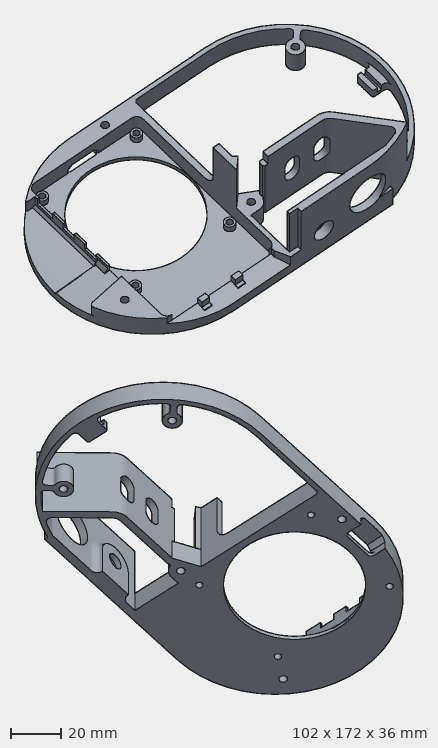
import cadquery as cq
import math

LENGTH = 172.0
WIDTH = 102.0
BASE_HEIGHT = 10.5
TOTAL_HEIGHT = 36.0
RADIUS = WIDTH / 2
ARC_Y = LENGTH / 2 - RADIUS
RIM = 2.2
FLOOR = 2.0
OVERSHOOT = 1.7
BLEND_REACH = 8.6

POCKET_LEFT, POCKET_RIGHT = -42.8, 42.6
POCKET_FRONT, POCKET_BACK = -63.5, -6.5
POCKET_CORNER = 3.3
FAN_X, FAN_Y = -10.0, -ARC_Y
FAN_DIAMETER = 56.7
BOSS_PITCH_X, BOSS_PITCH_Y = 58.0, 49.0
BOSS_DIAMETER, BOSS_HOLE = 5.0, 3.0
BOSS_TOP = 5.2

OPENING_FRONT = -3.5
OPENING_CORNER = 1.5
SCREW_HOLE = 3.5
SCREW_HOLES = [(-47.0, -20.1), (25.0, -70.0)]

POST_DIAMETER = 8.0
POST_RADIUS = 39.9
POST_ANGLES = (45, 135)
WEB_WIDTH = 2.8
WEB_FILLET = 1.7

WALL = 3.3
WALL_LEFT = 18.2
WALL_END_Y = 7.4
BEND_Y = 39.2
BEND_RADIUS = 4.8
DIAGONAL_ANGLE = 40.3
CAVITY_FRONT = -4.3
CAVITY_CORNER = 2.4
PANEL_INNER = 47.3
PANEL_STEP = 48.8
PANEL_BACK = 47.6
SLOT_WIDTH, SLOT_LENGTH = 7.4, 13.8
SLOT_YS = (ARC_Y, 20.0)
SLOT_Z = 17.5
WINDOW_DIAMETER = 19.5
WINDOW_Z = 18.0
LIP_TOP = 31.1
LIP_LENGTH = 2.2
LIP_TAPER = 0.7

PAD_Y, PAD_Z = 11.9, 13.2
PAD_RADIUS = 8.0
PAD_FACE = 44.0
PAD_FILLET = PANEL_INNER - PAD_FACE
PAD_HOLE, PAD_COUNTERBORE = 7.0, 10.0
COUNTERBORE_X = 46.5

LOBE_X, LOBE_Y = WALL_LEFT + WALL / 2, 0.0
LOBE_DIAMETER = 10.0
LOBE_TOE_X = 12.2
FIN_LEFT = 4.0
FIN_TIP = (13.5, -1.5)
FIN_ROOT_RADIUS = 5.8

RECESS_LEFT = -37.5
RECESS_WALL_Y = -64.5
RECESS_FLOOR = 4.1
RECESS_RIGHT_BACK, RECESS_RIGHT_FRONT = 15.1, 17.9
RECESS_FRONT_Y = -82.2
LEFT_ROUND, RIGHT_ROUND = 0.5, 1.5
RAMP_BACK, RAMP_FRONT = 7.0, 4.3
RAMP_LEFT = 1.0
RAMP_SIDE_RUN = 1.0
RAMP_WALL_END = 7.7
EDGE_SLOPE_Y = -81.0
EDGE_SLOPE_DROP = 0.5
FOOT = 1.2
NOTCHES = [(-36.0, -26.5), (-20.0, -13.0), (-6.5, 0.3)]
NOTCH_Z = 7.2
CATCH_LEFT = 1.5
CATCH_BOTTOM, CATCH_TOP = 6.7, 9.0
CATCH_DEPTH = 1.5

SHELF_INNER_Z, SHELF_OUTER_Z = 6.7, 5.2
SHELF_END_INNER = (44.4, -8.6)
SHELF_END_OUTER = (RADIUS, -5.5)
TAB_YS = (-27.5, -44.9)
TAB_WIDTH = 4.0
TAB_LENGTH, TAB_STEP = 2.5, 1.7
TAB_TOP, TAB_STEP_TOP = 9.8, 6.4

CABLE_WIDTH, CABLE_HEIGHT = 15.8, 5.8
CABLE_CHAMFER, CABLE_CORNER = 2.0, 1.7

CLIP_WIDTH = 10.1
CLIP_FRONT, CLIP_BACK = 75.7, 80.8
CLIP_TOP = 4.5
CLIP_GROOVE_FRONT, CLIP_GROOVE_BACK = 78.0, 80.1
CLIP_GROOVE_DEPTH = 2.8
CLIP_CORNER = 0.9
CLIP_ROOT = 1.9


def box(x0, x1, y0, y1, z0, z1):
    """Box between two opposite corners."""
    return cq.Workplane("XY").box(x1 - x0, y1 - y0, z1 - z0, centered=False).translate((x0, y0, z0))


def prism(points, z0, z1):
    """Plan polygon extruded between two heights."""
    return cq.Workplane("XY").workplane(offset=z0).polyline(points).close().extrude(z1 - z0)


def prism_along_x(points, x0, x1):
    """(Y, Z) polygon extruded along X."""
    return cq.Workplane("YZ").workplane(offset=x0).polyline(points).close().extrude(x1 - x0)


def prism_along_y(points, y0, y1):
    """(X, Z) polygon extruded along Y."""
    return cq.Workplane("XZ").workplane(offset=-y1).polyline(points).close().extrude(y1 - y0)


def rod(x, y, diameter, z0, z1):
    """Vertical cylinder."""
    return cq.Workplane("XY").workplane(offset=z0).center(x, y).circle(diameter / 2).extrude(z1 - z0)


def rod_along_x(y, z, diameter, x0, x1):
    """Cylinder parallel to X."""
    return cq.Workplane("YZ").workplane(offset=x0).center(y, z).circle(diameter / 2).extrude(x1 - x0)


def stadium(inset, height):
    """Outline with two rounded ends, shrunk by the inset."""
    return cq.Workplane("XY").slot2D(LENGTH - 2 * inset, WIDTH - 2 * inset, 90).extrude(height)


def base_ring():
    """Stadium plate with the large opening behind the fan pocket."""
    opening = stadium(RIM, BASE_HEIGHT).intersect(
        box(-RADIUS, RADIUS, OPENING_FRONT, LENGTH / 2, 0, BASE_HEIGHT)
    )
    opening = opening.edges("|Z and <Y").fillet(OPENING_CORNER)
    return stadium(0, BASE_HEIGHT).cut(opening)


def diagonal_plan(corner_x, corner_y, front_y):
    """Plan to the right of a straight wall face and its diagonal continuation."""
    far_x = 2 * RADIUS
    far_y = corner_y + (far_x - corner_x) * math.tan(math.radians(DIAGONAL_ANGLE))
    return [(corner_x, front_y), (corner_x, corner_y), (far_x, far_y), (far_x, front_y)]


def tower_cavity():
    """Space enclosed by the tower walls."""
    half_bend = math.radians(90 - DIAGONAL_ANGLE) / 2
    corner_x = WALL_LEFT + WALL
    corner_y = BEND_Y - WALL * math.tan(half_bend)
    cavity = prism(diagonal_plan(corner_x, corner_y, CAVITY_FRONT), 0, TOTAL_HEIGHT)
    cavity = cavity.intersect(stadium(RIM, TOTAL_HEIGHT))
    cavity = cavity.intersect(box(0, PANEL_INNER, CAVITY_FRONT, LENGTH, 0, TOTAL_HEIGHT))
    bend = cq.selectors.NearestToPointSelector((corner_x, corner_y, TOTAL_HEIGHT / 2))
    cavity = cavity.edges(bend).fillet(BEND_RADIUS)
    return cavity.edges("|Z and >Y").fillet(CAVITY_CORNER)


def tower():
    """Tall walls: bent divider, ring segment and side panel, squared off at base height."""
    body = prism(diagonal_plan(WALL_LEFT, BEND_Y, WALL_END_Y), 0, TOTAL_HEIGHT)
    bend = cq.selectors.NearestToPointSelector((WALL_LEFT, BEND_Y, TOTAL_HEIGHT / 2))
    body = body.edges(bend).fillet(BEND_RADIUS + WALL)
    body = body.union(box(PANEL_INNER, RADIUS, 0, PANEL_BACK, 0, TOTAL_HEIGHT))
    body = body.intersect(stadium(0, TOTAL_HEIGHT))
    body = body.union(box(PANEL_INNER, RADIUS, 0, PANEL_BACK, 0, BASE_HEIGHT))
    return body.union(box(PANEL_INNER, PANEL_STEP, CAVITY_FRONT, 0, 0, TOTAL_HEIGHT))


def pad():
    """Arched pad with a concave flank blending into the side panel."""
    outer = PAD_RADIUS + PAD_FILLET
    profile = (
        cq.Workplane("XY")
        .moveTo(PAD_FACE, 0)
        .lineTo(PAD_FACE, PAD_RADIUS)
        .radiusArc((PANEL_INNER, outer), -PAD_FILLET)
        .lineTo(PANEL_INNER, 0)
        .close()
    )
    dome = profile.revolve(360, (0, 0, 0), (1, 0, 0)).translate((0, PAD_Y, PAD_Z))
    skirt = (
        cq.Workplane("XY")
        .moveTo(PAD_FACE, PAD_Y - PAD_RADIUS)
        .radiusArc((PANEL_INNER, PAD_Y - outer), PAD_FILLET)
        .lineTo(PANEL_INNER, PAD_Y + outer)
        .radiusArc((PAD_FACE, PAD_Y + PAD_RADIUS), PAD_FILLET)
        .close()
        .extrude(PAD_Z)
    )
    return dome.union(skirt)


def tower_openings():
    """Slots in the divider, window and counterbored hole in the side panel."""
    slots = (
        cq.Workplane("YZ")
        .workplane(offset=WALL_LEFT - OVERSHOOT)
        .pushPoints([(y, SLOT_Z) for y in SLOT_YS])
        .slot2D(SLOT_LENGTH, SLOT_WIDTH, 90)
        .extrude(WALL + 2 * OVERSHOOT)
    )
    window = rod_along_x(ARC_Y, WINDOW_Z, WINDOW_DIAMETER, PANEL_INNER - OVERSHOOT, RADIUS + OVERSHOOT)
    hole = rod_along_x(PAD_Y, PAD_Z, PAD_HOLE, PAD_FACE - OVERSHOOT, RADIUS + OVERSHOOT)
    counterbore = rod_along_x(PAD_Y, PAD_Z, PAD_COUNTERBORE, COUNTERBORE_X, RADIUS + OVERSHOOT)
    return slots.union(window).union(hole).union(counterbore)


def wall_lip():
    """Lower lip with chamfered corners on the free end of the divider."""
    right = WALL_LEFT + WALL
    end = WALL_END_Y - LIP_LENGTH
    plan = [
        (WALL_LEFT, WALL_END_Y),
        (right, WALL_END_Y),
        (right, end + LIP_TAPER),
        (right - LIP_TAPER, end),
        (WALL_LEFT + LIP_TAPER, end),
        (WALL_LEFT, end + LIP_TAPER),
    ]
    return prism(plan, 0, LIP_TOP)


def lobe():
    """Screw lobe joining the divider to the pocket wall."""
    right = LOBE_X + LOBE_DIAMETER / 2
    plan = [
        (LOBE_TOE_X, OPENING_FRONT),
        (WALL_LEFT, WALL_END_Y),
        (WALL_LEFT + WALL, WALL_END_Y - LIP_LENGTH),
        (LOBE_X, LOBE_Y),
        (right, LOBE_Y),
        (right, POCKET_BACK),
        (LOBE_TOE_X, POCKET_BACK),
    ]
    return prism(plan, 0, BASE_HEIGHT).union(rod(LOBE_X, LOBE_Y, LOBE_DIAMETER, 0, BASE_HEIGHT))


def fin():
    """Tall fin on the pocket wall with a rounded root on its left."""
    tip_x, tip_y = FIN_TIP
    plan = [
        (FIN_LEFT, POCKET_BACK),
        (tip_x + tip_y - POCKET_BACK, POCKET_BACK),
        FIN_TIP,
        (LOBE_TOE_X, OPENING_FRONT),
        (FIN_LEFT, OPENING_FRONT),
    ]
    root = (
        cq.Workplane("XZ")
        .workplane(offset=-OPENING_FRONT)
        .moveTo(FIN_LEFT - FIN_ROOT_RADIUS, BASE_HEIGHT)
        .radiusArc((FIN_LEFT, BASE_HEIGHT + FIN_ROOT_RADIUS), -FIN_ROOT_RADIUS)
        .lineTo(FIN_LEFT, BASE_HEIGHT)
        .close()
        .extrude(OPENING_FRONT - POCKET_BACK)
    )
    return prism(plan, 0, TOTAL_HEIGHT).union(root)


def ring_wall():
    """Full circle of the thin ring wall around the origin."""
    return cq.Workplane("XY").circle(RADIUS).circle(RADIUS - RIM).extrude(BASE_HEIGHT)


def post(angle):
    """Screw post tied to the ring by a filleted web."""
    web = box(POST_RADIUS, RADIUS - RIM / 2, -WEB_WIDTH / 2, WEB_WIDTH / 2, 0, BASE_HEIGHT)
    segment = ring_wall().intersect(box(0, RADIUS, -BLEND_REACH, BLEND_REACH, 0, BASE_HEIGHT))
    shape = segment.union(rod(POST_RADIUS, 0, POST_DIAMETER, 0, BASE_HEIGHT)).union(web)
    inside = cq.selectors.BoxSelector(
        (POST_RADIUS, -WEB_WIDTH, -OVERSHOOT),
        (RADIUS - RIM / 2, WEB_WIDTH, BASE_HEIGHT + OVERSHOOT),
    )
    shape = shape.edges("|Z").edges(inside).fillet(WEB_FILLET)
    shape = shape.cut(rod(POST_RADIUS, 0, SCREW_HOLE, 0, BASE_HEIGHT))
    return shape.rotate((0, 0, 0), (0, 0, 1), angle).translate((0, ARC_Y, 0))


def ring_clip():
    """Grooved snap clip inside the back of the ring."""
    half = CLIP_WIDTH / 2
    back = LENGTH / 2 - RIM / 2
    body = box(-half, half, CLIP_FRONT, back, 0, CLIP_TOP).edges("|Z and <Y").fillet(CLIP_CORNER)
    segment = ring_wall().translate((0, ARC_Y, 0))
    body = body.union(segment.intersect(box(-BLEND_REACH, BLEND_REACH, CLIP_BACK, LENGTH / 2, 0, CLIP_TOP)))
    roots = cq.selectors.BoxSelector(
        (-half - OVERSHOOT, CLIP_GROOVE_BACK, -OVERSHOOT),
        (half + OVERSHOOT, back, CLIP_TOP + OVERSHOOT),
    )
    body = body.edges("|Z").edges(roots).fillet(CLIP_ROOT)
    groove_z = CLIP_TOP - CLIP_GROOVE_DEPTH
    return body.cut(box(-half, half, CLIP_GROOVE_FRONT, CLIP_GROOVE_BACK, groove_z, CLIP_TOP))


def fan_pocket():
    """Pocket, fan hole and cable notch to remove."""
    pocket = box(POCKET_LEFT, POCKET_RIGHT, POCKET_FRONT, POCKET_BACK, FLOOR, BASE_HEIGHT)
    pocket = pocket.edges("|Z").fillet(POCKET_CORNER)
    y0, y1 = -ARC_Y - CABLE_WIDTH / 2, -ARC_Y + CABLE_WIDTH / 2
    upper = box(-RADIUS, POCKET_LEFT, y0, y1, FLOOR, CABLE_HEIGHT).edges("|X and >Z").chamfer(CABLE_CHAMFER)
    lower = box(-RADIUS, POCKET_LEFT, y0, y1, 0, FLOOR).edges("|Z and >X").fillet(CABLE_CORNER)
    cable = upper.union(lower)
    return pocket.union(rod(FAN_X, FAN_Y, FAN_DIAMETER, 0, BASE_HEIGHT)).union(cable)


def fan_boss_points():
    """Centres of the four bosses around the fan hole."""
    half_x, half_y = BOSS_PITCH_X / 2, BOSS_PITCH_Y / 2
    return [(FAN_X + sx * half_x, FAN_Y + sy * half_y) for sx in (-1, 1) for sy in (-1, 1)]


def front_recess():
    """Stepped recess with a flat floor on the left and a ramp on the right."""
    front = -LENGTH / 2
    top = BASE_HEIGHT
    ramp_slope = (RAMP_BACK - RAMP_FRONT) / (POCKET_FRONT - front)
    right_slant = (RECESS_RIGHT_FRONT - RECESS_RIGHT_BACK) / (POCKET_FRONT - RECESS_FRONT_Y)
    right_end = RECESS_RIGHT_BACK + right_slant * (POCKET_FRONT - front)
    plan = prism(
        [
            (RECESS_LEFT, POCKET_FRONT),
            (RECESS_LEFT, front),
            (right_end, front),
            (RECESS_RIGHT_BACK, POCKET_FRONT),
        ],
        0, top,
    )
    side_run = RAMP_SIDE_RUN * (top - RECESS_FLOOR) / (RAMP_BACK - RECESS_FLOOR)
    flat = prism_along_y(
        [
            (RECESS_LEFT, RECESS_FLOOR),
            (RAMP_LEFT, RECESS_FLOOR),
            (RAMP_LEFT + side_run, top),
            (RECESS_LEFT, top),
        ],
        front, RECESS_WALL_Y,
    )
    foot = prism_along_x(
        [
            (RECESS_WALL_Y, RECESS_FLOOR),
            (RECESS_WALL_Y, RECESS_FLOOR + FOOT),
            (RECESS_WALL_Y - FOOT, RECESS_FLOOR),
        ],
        RECESS_LEFT, RAMP_LEFT,
    )
    edge_slope = prism_along_x(
        [
            (EDGE_SLOPE_Y, RECESS_FLOOR),
            (front, RECESS_FLOOR - EDGE_SLOPE_DROP),
            (front, RECESS_FLOOR),
        ],
        RECESS_LEFT, RAMP_LEFT,
    )

    def above_ramp(x0, back):
        back_z = RAMP_BACK - ramp_slope * (POCKET_FRONT - back)
        section = [(back, back_z), (front, RAMP_FRONT), (front, top), (back, top)]
        return prism_along_x(section, x0, right_end)

    space = flat.cut(foot).union(edge_slope)
    space = space.union(above_ramp(RAMP_LEFT, RECESS_WALL_Y))
    space = space.union(above_ramp(RAMP_WALL_END, POCKET_FRONT)).intersect(plan)
    for left, right in NOTCHES:
        space = space.union(box(left, right, RECESS_WALL_Y, POCKET_FRONT, NOTCH_Z, top))
    return space


def round_recess_ends(body):
    """Round the upright corners where the recess sides break through the rim."""
    left_y = -ARC_Y - math.sqrt(RADIUS**2 - RECESS_LEFT**2)
    ends = [(RECESS_LEFT, left_y, LEFT_ROUND), (RECESS_RIGHT_FRONT, RECESS_FRONT_Y, RIGHT_ROUND)]
    for x, y, radius in ends:
        corner = cq.selectors.NearestToPointSelector((x, y, (RECESS_FLOOR + BASE_HEIGHT) / 2))
        body = body.edges("|Z").edges(corner).fillet(radius)
    return body


def recess_catch():
    """Wedge catch on the recess wall."""
    section = [
        (RECESS_WALL_Y, CATCH_BOTTOM),
        (RECESS_WALL_Y, CATCH_TOP),
        (RECESS_WALL_Y - CATCH_DEPTH, CATCH_BOTTOM),
    ]
    return prism_along_x(section, CATCH_LEFT, RAMP_WALL_END)


def side_shelf():
    """Sloped space above the shelf along the right wall."""
    section = [
        (POCKET_RIGHT, SHELF_INNER_Z),
        (RADIUS, SHELF_OUTER_Z),
        (RADIUS, BASE_HEIGHT),
        (POCKET_RIGHT, BASE_HEIGHT),
    ]
    plan = [
        (POCKET_RIGHT, POCKET_FRONT),
        (RADIUS, POCKET_FRONT),
        SHELF_END_OUTER,
        SHELF_END_INNER,
        (POCKET_RIGHT, SHELF_END_INNER[1]),
    ]
    return prism_along_y(section, POCKET_FRONT, 0).intersect(prism(plan, 0, BASE_HEIGHT))


def shelf_tab(y):
    """Stepped tab standing on the shelf."""
    y0, y1 = y - TAB_WIDTH / 2, y + TAB_WIDTH / 2
    step_x = POCKET_RIGHT + TAB_LENGTH
    tall = box(POCKET_RIGHT, step_x, y0, y1, FLOOR, TAB_TOP)
    return tall.union(box(step_x, step_x + TAB_STEP, y0, y1, FLOOR, TAB_STEP_TOP))


result = base_ring().union(tower()).cut(tower_cavity())
result = result.union(pad()).cut(tower_openings())
result = result.union(wall_lip()).union(lobe()).union(fin())
for post_angle in POST_ANGLES:
    result = result.union(post(post_angle))
result = result.union(ring_clip())

result = result.cut(fan_pocket()).cut(front_recess())
result = round_recess_ends(result).cut(side_shelf())
result = result.union(recess_catch())
for tab_y in TAB_YS:
    result = result.union(shelf_tab(tab_y))
for boss_x, boss_y in fan_boss_points():
    result = result.union(rod(boss_x, boss_y, BOSS_DIAMETER, 0, BOSS_TOP))
    result = result.cut(rod(boss_x, boss_y, BOSS_HOLE, 0, BOSS_TOP))
for hole_x, hole_y in SCREW_HOLES + [(LOBE_X, LOBE_Y)]:
    result = result.cut(rod(hole_x, hole_y, SCREW_HOLE, 0, BASE_HEIGHT))